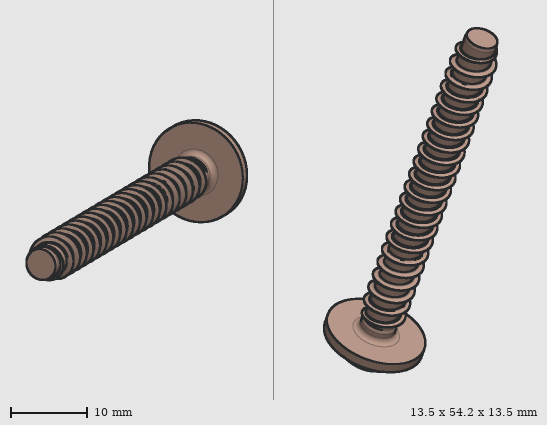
import cadquery as cq
import math

flange_diameter = 13.5
flange_thickness = 1.4
dome_base_diameter = 11.35
dome_top_diameter = 6.4
dome_foot_height = 0.12
head_height = 4.2
dome_bulge = 0.25

shank_length = 50.0
neck_diameter = 4.75
neck_fillet = 0.8
neck_length = 1.45
neck_taper_length = 0.55
core_diameter = 4.4
tip_diameter = 4.2
tip_length = 0.6

thread_diameter = 6.05
thread_pitch = 2.139
thread_start_y = -0.82
thread_turns = 22.75
fade_turns = 1.25
start_angle = -90.0
tip_side_root_reach = 0.45
head_side_root_reach = 0.95
flare_height = 0.15
flare_half_width = 0.24
crest_half_width = 0.04
root_embed = 0.1
end_depth_share = 0.05
points_per_turn = 24

core_radius = core_diameter / 2
neck_radius = neck_diameter / 2
crest_height = thread_diameter / 2 - core_radius


def make_body():
    """Head and plain shank, revolved about Y."""
    dome_base_radius = dome_base_diameter / 2
    dome_top_radius = dome_top_diameter / 2
    dome_base_y = flange_thickness + dome_foot_height
    dome_height = head_height - dome_base_y
    chord_drop = dome_base_radius - dome_top_radius
    chord_length = math.hypot(chord_drop, dome_height)
    dome_middle = (
        (dome_base_radius + dome_top_radius) / 2 + dome_bulge * dome_height / chord_length,
        dome_base_y + dome_height / 2 + dome_bulge * chord_drop / chord_length,
    )
    fillet_reach = neck_fillet * (1 - math.sqrt(0.5))
    return (
        cq.Workplane("XY")
        .moveTo(0, head_height)
        .lineTo(dome_top_radius, head_height)
        .threePointArc(dome_middle, (dome_base_radius, dome_base_y))
        .lineTo(dome_base_radius, flange_thickness)
        .lineTo(flange_diameter / 2, flange_thickness)
        .lineTo(flange_diameter / 2, 0)
        .lineTo(neck_radius + neck_fillet, 0)
        .threePointArc(
            (neck_radius + fillet_reach, -fillet_reach),
            (neck_radius, -neck_fillet),
        )
        .lineTo(neck_radius, -neck_length)
        .lineTo(core_radius, -neck_length - neck_taper_length)
        .lineTo(core_radius, tip_length - shank_length)
        .lineTo(tip_diameter / 2, -shank_length)
        .lineTo(0, -shank_length)
        .close()
        .revolve(360, (0, 0), (0, 1))
    )


def thread_edge(height, offset):
    """Helical edge at a full-depth height above the core and an offset along Y.

    Over the fade at each end the height shrinks evenly towards the buried root.
    """
    points = []
    for index in range(round(thread_turns * points_per_turn) + 1):
        turn = index / points_per_turn
        turns_to_end = min(turn, thread_turns - turn)
        fade_share = min(1, turns_to_end / fade_turns)
        depth_share = end_depth_share + (1 - end_depth_share) * fade_share
        radius = core_radius - root_embed + (height + root_embed) * depth_share
        angle = math.radians(start_angle) + 2 * math.pi * turn
        y = thread_start_y - thread_pitch * turn + offset
        points.append(cq.Vector(radius * math.cos(angle), y, radius * math.sin(angle)))
    return cq.Edge.makeSpline(points)


def make_thread():
    """Solid helical ridge, bounded by ruled faces between its edges and a flat cap at each end."""
    profile = [
        (-root_embed, -tip_side_root_reach),
        (flare_height, -flare_half_width),
        (crest_height, -crest_half_width),
        (crest_height, crest_half_width),
        (flare_height, flare_half_width),
        (-root_embed, head_side_root_reach),
    ]
    edges = [thread_edge(height, offset) for height, offset in profile]
    next_edges = edges[1:] + edges[:1]
    faces = [cq.Face.makeRuledSurface(edge, next_edge) for edge, next_edge in zip(edges, next_edges)]
    for ends in ([edge.startPoint() for edge in edges], [edge.endPoint() for edge in edges]):
        faces.append(cq.Face.makeFromWires(cq.Wire.makePolygon(ends, close=True)))
    return cq.Workplane(obj=cq.Solid.makeSolid(cq.Shell.makeShell(faces)))


result = make_body().union(make_thread())